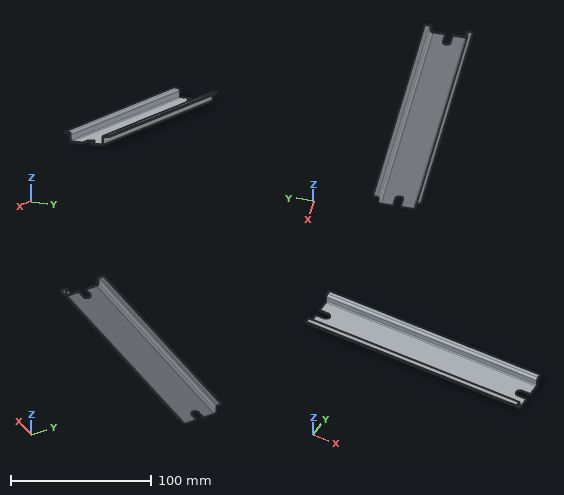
import cadquery as cq

rail_length = 172.0
rail_width = 35.0
rail_height = 7.5

sheet = 1.0
channel_width = 27.0
inner_bend_radius = 0.8
outer_bend_radius = inner_bend_radius + sheet

slot_width = 5.6
slot_depth = 9.8

half_width = rail_width / 2
half_channel = channel_width / 2
half_cavity = half_channel - sheet
flange_underside = rail_height - sheet


def bent_rail():
    """Top-hat section with rounded bends, extruded along X and centred on it."""
    outline = [
        (-half_width, rail_height),
        (-half_cavity, rail_height),
        (-half_cavity, sheet),
        (half_cavity, sheet),
        (half_cavity, rail_height),
        (half_width, rail_height),
        (half_width, flange_underside),
        (half_channel, flange_underside),
        (half_channel, 0),
        (-half_channel, 0),
        (-half_channel, flange_underside),
        (-half_width, flange_underside),
    ]
    rail = (
        cq.Workplane("YZ")
        .polyline(outline)
        .close()
        .extrude(rail_length / 2, both=True)
    )

    outer_corners = [(half_cavity, rail_height), (half_channel, 0)]
    inner_corners = [(half_channel, flange_underside), (half_cavity, sheet)]
    rail = round_bends(rail, outer_corners, outer_bend_radius)
    return round_bends(rail, inner_corners, inner_bend_radius)


def round_bends(rail, corners, radius):
    """Round the lengthwise edges at the given (y, z) corners on both sides of the rail."""
    for y, z in corners:
        for side in (-1, 1):
            edge = cq.selectors.NearestToPointSelector((0, side * y, z))
            rail = rail.edges("|X").edges(edge).fillet(radius)
    return rail


def end_slot(side):
    """Cutter for the slot at one end (side is -1 or 1), round towards the middle."""
    return (
        cq.Workplane("XY")
        .center(side * rail_length / 2, 0)
        .slot2D(2 * slot_depth, slot_width)
        .extrude(sheet)
    )


result = bent_rail()
for end in (-1, 1):
    result = result.cut(end_slot(end))